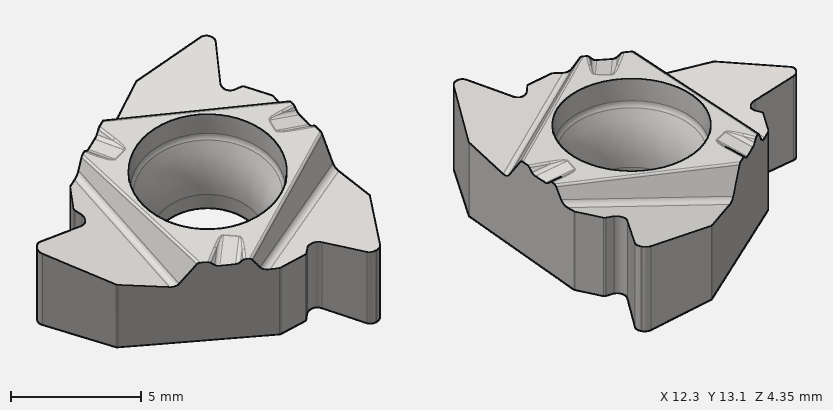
import cadquery as cq
import math

TEETH = 3
HEIGHT = 4.35
SIDE_DISTANCE = 4.76
HALF_EXTENT = 10.5

TIP_REACH = 6.91
TIP_FLAT = 0.05
TIP_X = -2.94
TIP_RADIUS = 0.34
FLANK_ANGLE = math.radians(29)
LAND_REACH = 5.26
LAND_START_X = -0.83
RELIEF_X = -1.35
RELIEF_RADIUS = 0.4
RELIEF_EXIT_ANGLE = math.radians(-50)
CORNER_RADIUS = 0.12

FACE_TIP_HEIGHT = 4.0
FACE_SLOPE = 10.0
WALL_SLOPE = 60.0
WALL_DIRECTION = math.radians(31.8)
WALL_EDGE = cq.Vector(math.cos(WALL_DIRECTION), math.sin(WALL_DIRECTION), 0)
WALL_TOP_Y = 0.89
GROOVE_RADIUS = 0.31
WALL_EDGE_RADIUS = 0.13

POCKET_Y = -0.24
POCKET_DIRECTION = -12.3
POCKET_DEPTH = 0.25
POCKET_LENGTH = 1.34
POCKET_FLOOR_WIDTH = 0.81
POCKET_FLOOR_RADIUS = 0.26
POCKET_RIM_RADIUS = 0.16
TROUGH_REACH = 3

BORE_RADIUS = 4.4 / 2
RIM_RADIUS = 3.05
CONE_END_RADIUS = 2.98
CONE_END_Z = 3.37
SEAT_TOP_RADIUS = 2.87
SEAT_TOP_Z = 3.11
SEAT_BOTTOM_Z = 0.79


def rotated(body, index):
    return body.rotate((0, 0, 0), (0, 0, 1), index * 360 / TEETH)


def cut_all_round(body, cutter):
    for index in range(TEETH):
        body = body.cut(rotated(cutter, index))
    return body


def turned_point(point, index):
    angle = index * 2 * math.pi / TEETH
    x, y = point
    return (
        x * math.cos(angle) - y * math.sin(angle),
        x * math.sin(angle) + y * math.cos(angle),
    )


def outline_prism():
    """Closed outline with sharp corners, extruded, then rounded at its corners."""
    corner_turn = math.pi / 2 - FLANK_ANGLE
    half_tip = TIP_FLAT / 2 + TIP_RADIUS * math.tan(corner_turn / 2)
    apex_y = TIP_REACH + half_tip / math.tan(FLANK_ANGLE)
    tip_left = (TIP_X - half_tip, TIP_REACH)
    tip_right = (TIP_X + half_tip, TIP_REACH)
    shoulder = (-SIDE_DISTANCE, apex_y - (TIP_X + SIDE_DISTANCE) / math.tan(FLANK_ANGLE))

    flank_offset = RELIEF_RADIUS / math.sin(FLANK_ANGLE)
    relief_y = apex_y - (RELIEF_X - TIP_X) / math.tan(FLANK_ANGLE) + flank_offset

    def on_relief(angle):
        x = RELIEF_X + RELIEF_RADIUS * math.cos(angle)
        return (x, relief_y + RELIEF_RADIUS * math.sin(angle))

    relief_start = on_relief(math.pi + FLANK_ANGLE)
    relief_bottom = on_relief(-math.pi / 2)
    relief_end = on_relief(RELIEF_EXIT_ANGLE)
    land_start = (LAND_START_X, LAND_REACH)
    side_angle = math.pi / 3
    land_end_x = (SIDE_DISTANCE - LAND_REACH * math.sin(side_angle)) / math.cos(side_angle)
    land_end = (land_end_x, LAND_REACH)

    sketch = cq.Workplane("XY").moveTo(*shoulder)
    for index in range(0, -TEETH, -1):
        if index:
            sketch = sketch.lineTo(*turned_point(shoulder, index))
        sketch = sketch.lineTo(*turned_point(tip_left, index))
        sketch = sketch.lineTo(*turned_point(tip_right, index))
        sketch = sketch.lineTo(*turned_point(relief_start, index))
        sketch = sketch.threePointArc(
            turned_point(relief_bottom, index), turned_point(relief_end, index)
        )
        sketch = sketch.lineTo(*turned_point(land_start, index))
        sketch = sketch.lineTo(*turned_point(land_end, index))
    prism = sketch.close().extrude(HEIGHT)

    corner_radii = [
        (tip_left, TIP_RADIUS),
        (tip_right, TIP_RADIUS),
        (shoulder, CORNER_RADIUS),
        (land_start, CORNER_RADIUS),
        (land_end, CORNER_RADIUS),
    ]
    for index in range(TEETH):
        for corner, radius in corner_radii:
            x, y = turned_point(corner, index)
            edge = cq.selectors.NearestToPointSelector((x, y, HEIGHT / 2))
            prism = prism.edges("|Z").edges(edge).fillet(radius)
    return prism


def half_space(origin, along, normal):
    """Large block lying on the normal side of a plane."""
    plane = cq.Plane(origin=origin, xDir=along, normal=normal)
    return cq.Workplane(plane).rect(2 * HALF_EXTENT, 2 * HALF_EXTENT).extrude(HALF_EXTENT)


def tooth_face_cutter():
    """Space above the sloping face and outside the wall, with a round groove."""
    slope = math.radians(FACE_SLOPE)
    face_normal = cq.Vector(0, -math.sin(slope), math.cos(slope))
    above_face = half_space((0, TIP_REACH, FACE_TIP_HEIGHT), (1, 0, 0), face_normal)

    tilt = math.radians(WALL_SLOPE)
    out_x, out_y = -WALL_EDGE.y, WALL_EDGE.x
    wall_normal = cq.Vector(out_x * math.sin(tilt), out_y * math.sin(tilt), math.cos(tilt))
    outside_wall = half_space((-SIDE_DISTANCE, WALL_TOP_Y, HEIGHT), WALL_EDGE, wall_normal)

    cutter = above_face.intersect(outside_wall)
    groove = cq.selectors.ParallelDirSelector(face_normal.cross(wall_normal))
    nearest = cq.selectors.NearestToPointSelector((0, LAND_REACH, FACE_TIP_HEIGHT))
    return cutter.edges(groove).edges(nearest).fillet(GROOVE_RADIUS)


def round_wall_edges(body):
    for index in range(TEETH):
        edge = cq.Vector(*turned_point((WALL_EDGE.x, WALL_EDGE.y), index), 0)
        parallel = cq.selectors.ParallelDirSelector(edge)
        body = body.faces(">Z").edges(parallel).fillet(WALL_EDGE_RADIUS)
    return body


def pocket_cutter():
    """Trough with 45 degree walls whose floor rises inward to the top face."""
    direction = math.radians(POCKET_DIRECTION)
    inward = cq.Vector(math.cos(direction), math.sin(direction), POCKET_DEPTH / POCKET_LENGTH)
    inward = inward.normalized()
    across = cq.Vector(-math.sin(direction), math.cos(direction), 0)
    floor_point = cq.Vector(-SIDE_DISTANCE, POCKET_Y, HEIGHT - POCKET_DEPTH)
    start = floor_point - inward * POCKET_LENGTH
    rise = TROUGH_REACH * POCKET_DEPTH
    half_floor = POCKET_FLOOR_WIDTH / 2
    half_top = half_floor + rise
    plane = cq.Plane(origin=start, xDir=across, normal=inward)
    trough = (
        cq.Workplane(plane)
        .polyline([(-half_floor, 0), (half_floor, 0), (half_top, rise), (-half_top, rise)])
        .close()
        .extrude(TROUGH_REACH * POCKET_LENGTH)
    )
    along = cq.selectors.ParallelDirSelector(inward)
    return trough.edges(along).edges("<Z").fillet(POCKET_FLOOR_RADIUS)


def round_pocket_rims(body):
    """Round each pocket's rim; the rounding runs on from the inner end edge."""
    direction = math.radians(POCKET_DIRECTION)
    pocket_end = (
        -SIDE_DISTANCE + POCKET_LENGTH * math.cos(direction),
        POCKET_Y + POCKET_LENGTH * math.sin(direction),
    )
    for index in range(TEETH):
        x, y = turned_point(pocket_end, index)
        edge = cq.selectors.NearestToPointSelector((x, y, HEIGHT))
        body = body.faces(">Z").edges(edge).fillet(POCKET_RIM_RADIUS)
    return body


def screw_hole():
    """Slightly tapered mouth and a trumpet-shaped seat that runs into the bore."""
    seat_drop = SEAT_TOP_Z - SEAT_BOTTOM_Z
    seat_step = SEAT_TOP_RADIUS - BORE_RADIUS
    seat_radius = (seat_drop**2 + seat_step**2) / (2 * seat_step)
    half_sweep = math.asin(seat_drop / seat_radius) / 2
    seat_middle = (
        BORE_RADIUS + seat_radius * (1 - math.cos(half_sweep)),
        SEAT_BOTTOM_Z + seat_radius * math.sin(half_sweep),
    )
    return (
        cq.Workplane("XZ")
        .moveTo(0, HEIGHT)
        .lineTo(RIM_RADIUS, HEIGHT)
        .lineTo(CONE_END_RADIUS, CONE_END_Z)
        .tangentArcPoint((SEAT_TOP_RADIUS, SEAT_TOP_Z), relative=False)
        .threePointArc(seat_middle, (BORE_RADIUS, SEAT_BOTTOM_Z))
        .lineTo(BORE_RADIUS, 0)
        .lineTo(0, 0)
        .close()
        .revolve(360, (0, 0), (0, 1))
    )


insert = cut_all_round(outline_prism(), tooth_face_cutter())
insert = round_wall_edges(insert)
insert = cut_all_round(insert, pocket_cutter())
insert = round_pocket_rims(insert)
result = insert.cut(screw_hole())